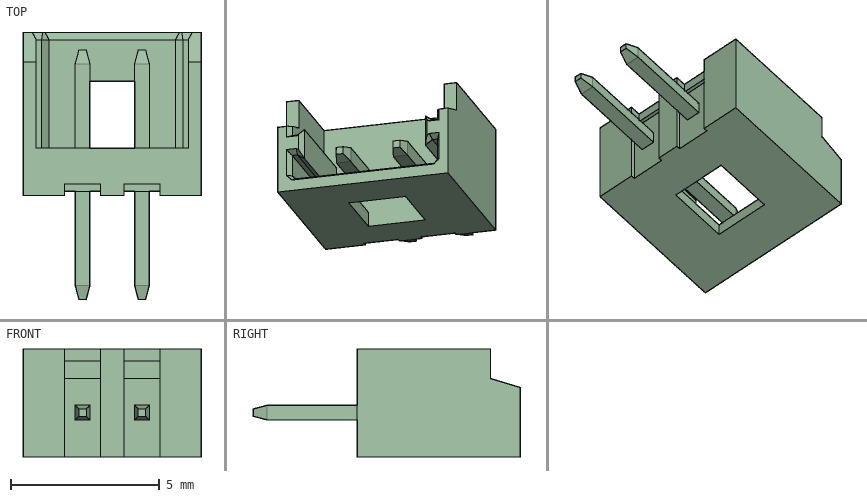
import cadquery as cq
import math

WIDTH = 6.0
LENGTH = 5.5
HEIGHT = 3.65
REAR_WALL = 1.6

STEP_Y = 4.5
STEP_Z = 2.65
STEP_FRONT_Z = 2.35

CAVITY_HALF_WIDTH = 2.56
FLOOR_Z = 0.51
FLOOR_BEVEL = 0.12
CUT_CLEARANCE = 1.0

RAIL_TIP_X = 2.13
RAIL_NECK_X = 2.38
RAIL_CENTER_Z = 1.73
RAIL_TIP_HEIGHT = 1.05
RAIL_NECK_HEIGHT = 0.72

MOUTH_DEPTH = 0.25
MOUTH_ANGLE = 28

WINDOW_WIDTH = 2.0
WINDOW_END_Y = 3.85

PITCH = 2.0
CONTACT_COUNT = 2
PIN_SIZE = 0.5
PIN_Z = 1.5
PIN_TAIL_Y = -3.5
PIN_FRONT_Y = 4.9
PIN_TIP_LENGTH = 0.47
PIN_TIP_SIZE = 0.25

RECESS_WIDTH = 1.2
RECESS_DEPTH = 0.14
POCKET_ENTRY_DEPTH = 0.39
POCKET_DEPTH = 0.7
POCKET_FLOOR_Z = 2.65
POCKET_ROOF_Z = 3.24


def box(x_min, x_max, y_min, y_max, z_min, z_max):
    """Axis-aligned block between the given limits."""
    size = (x_max - x_min, y_max - y_min, z_max - z_min)
    return cq.Workplane("XY").box(*size, centered=False).translate((x_min, y_min, z_min))


def cavity_outline():
    """Cavity cross-section as (x, z) points, open above the top of the housing."""
    tip_bottom = RAIL_CENTER_Z - RAIL_TIP_HEIGHT / 2
    tip_top = RAIL_CENTER_Z + RAIL_TIP_HEIGHT / 2
    neck_bottom = RAIL_CENTER_Z - RAIL_NECK_HEIGHT / 2
    neck_top = RAIL_CENTER_Z + RAIL_NECK_HEIGHT / 2
    right = [
        (CAVITY_HALF_WIDTH - FLOOR_BEVEL, FLOOR_Z),
        (CAVITY_HALF_WIDTH, FLOOR_Z + FLOOR_BEVEL),
        (CAVITY_HALF_WIDTH, neck_bottom),
        (RAIL_NECK_X, neck_bottom),
        (RAIL_TIP_X, tip_bottom),
        (RAIL_TIP_X, tip_top),
        (RAIL_NECK_X, neck_top),
        (CAVITY_HALF_WIDTH, neck_top),
        (CAVITY_HALF_WIDTH, HEIGHT + CUT_CLEARANCE),
    ]
    left = [(-x, z) for x, z in reversed(right)]
    return right + left


def cavity():
    """Cavity volume, flaring outwards at the mating face."""
    outline = cavity_outline()
    straight = cq.Workplane("XZ", origin=(0, REAR_WALL, 0)).polyline(outline).close()
    straight = straight.extrude(REAR_WALL - LENGTH)

    inner = cq.Workplane("XZ", origin=(0, LENGTH - MOUTH_DEPTH, 0)).polyline(outline).close()
    outer = cq.Workplane("XZ", origin=(0, LENGTH, 0)).polyline(outline).close()
    flare = MOUTH_DEPTH * math.tan(math.radians(MOUTH_ANGLE))
    outer = outer.offset2D(flare, "intersection")
    mouth = cq.Solid.makeLoft([inner.wires().val(), outer.wires().val()], ruled=True)
    return straight.union(cq.Workplane(mouth))


def front_step():
    """Material removed above the lowered front corners of the side walls."""
    outline = [(STEP_Y, HEIGHT), (STEP_Y, STEP_Z), (LENGTH, STEP_FRONT_Z), (LENGTH, HEIGHT)]
    return cq.Workplane("YZ").polyline(outline).close().extrude(WIDTH / 2, both=True)


def rear_recess(x):
    """Full-height recess behind one contact, with an undercut pocket near the top."""
    x_min = x - RECESS_WIDTH / 2
    x_max = x + RECESS_WIDTH / 2
    recess = box(x_min, x_max, 0, RECESS_DEPTH, 0, HEIGHT)
    entry = box(x_min, x_max, 0, POCKET_ENTRY_DEPTH, POCKET_FLOOR_Z, HEIGHT)
    pocket = box(x_min, x_max, 0, POCKET_DEPTH, POCKET_FLOOR_Z, POCKET_ROOF_Z)
    return recess.union(entry).union(pocket)


def pin_tip(x, y, direction):
    """Tapered pin end starting at y; direction is +1 towards +Y, -1 towards -Y."""
    plane = cq.Plane(origin=(x, y, PIN_Z), xDir=(1, 0, 0), normal=(0, direction, 0))
    base = cq.Workplane(plane).rect(PIN_SIZE, PIN_SIZE)
    return base.workplane(offset=PIN_TIP_LENGTH).rect(PIN_TIP_SIZE, PIN_TIP_SIZE).loft(ruled=True)


def pin(x):
    """Square contact pin with a tapered tip at each end."""
    half = PIN_SIZE / 2
    tail_y = PIN_TAIL_Y + PIN_TIP_LENGTH
    front_y = PIN_FRONT_Y - PIN_TIP_LENGTH
    shank = box(x - half, x + half, tail_y, front_y, PIN_Z - half, PIN_Z + half)
    return shank.union(pin_tip(x, tail_y, -1)).union(pin_tip(x, front_y, 1))


contact_xs = [(i - (CONTACT_COUNT - 1) / 2) * PITCH for i in range(CONTACT_COUNT)]

result = box(-WIDTH / 2, WIDTH / 2, 0, LENGTH, 0, HEIGHT)
result = result.cut(cavity())
result = result.cut(front_step())
result = result.cut(box(-WINDOW_WIDTH / 2, WINDOW_WIDTH / 2, REAR_WALL, WINDOW_END_Y, 0, FLOOR_Z))
for contact_x in contact_xs:
    result = result.cut(rear_recess(contact_x))
for contact_x in contact_xs:
    result = result.union(pin(contact_x))